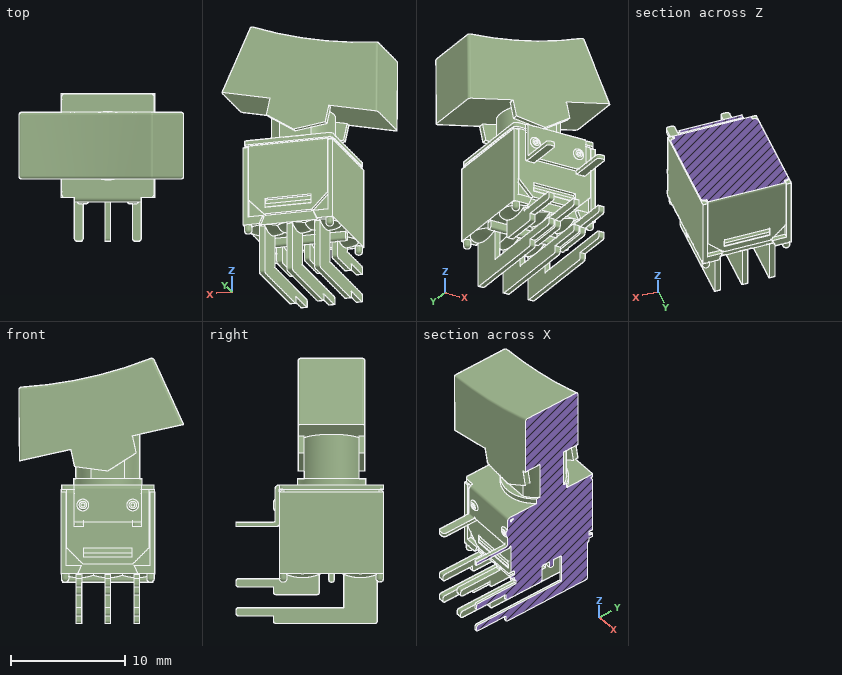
import cadquery as cq
import math


CASE_X = 8.25
CASE_Y = 9.13
CASE_TOP = 7.15
SHEET = 0.4
FLAP_BEND = 0.37
FRONT = -CASE_Y / 2

FRAME_TOP = 7.38
FRAME_X = 8.2
FLAP_WIDTH = 7.26
POCKET_WIDTH = 7.35
FLAP_BOTTOM = 0.84
FLAP_CORNER = 1.45
POCKET_BOTTOM = 0.72
NOTCH_TOP_WIDTH = 4.52
NOTCH_BOTTOM_WIDTH = 5.25
LATCH_WIDTH = 4.24
LATCH_TOP = 2.25
LATCH_RAMP_END = 1.8
LATCH_BOTTOM = 1.47
LATCH_RECESS = 0.07

PLATE_TOP = FRAME_TOP + SHEET
PLATE_X = 8.1
PLATE_CORNER = 0.33
BRACKET_WIDTH = 5.9
BRACKET_BOTTOM = 4.52
BRACKET_FACE = FRONT - SHEET
LEG_WIDTH = 0.8
LEG_CORNER = 0.25
BEND_RADIUS = 0.23
ROOT_FILLET = 0.15
PIN_TIP = -8.38

RIVET_SPACING = 4.38
RIVET_Z = 6.0
RIVET_HEIGHT = 0.15
RIVET_DIAMETER = 1.02
RIVET_RING = 0.65
RIVET_HOLE = 0.35

FLANGE_DIAMETER = 6.0
FLANGE_TOP = 8.3
BUSHING_DIAMETER = 5.63
BUSHING_FLATS = 4.82
BUSHING_TOP = 12.57

ROCKER_TILT = 12.5
ROCKER_WIDTH = 5.87
ROCKER_PIVOT_Z = 8.99
ROCKER_BASE = 2.54
ROCKER_TOP = 8.87
ROCKER_HALF_LENGTH = 7.38
FLANK_ANGLE = 12.0
TOP_SAG = 0.5
SKIRT_HALF_LENGTH = 2.77
SKIRT_ANGLE = 20.0
ROCKER_ROUND = 0.25

FOOT_DIAMETER = 0.65
FOOT_HEIGHT = 0.75
FOOT_ROUND = 0.28
FOOT_X = 3.75
FOOT_Y = 4.24
RIB_LENGTH = 7.92
RIB_THICKNESS = 0.5
RIB_HEIGHT = 0.77
RIB_ROUND = 0.2
DOME_DIAMETER = 3.25
DOME_HEIGHT = 0.37

PITCH = 2.54
TERMINAL_THICKNESS = 0.51
STEM_WIDTH = 2.95
SHORT_BOTTOM = -1.86
LONG_BOTTOM = SHORT_BOTTOM - PITCH
ARM_HEIGHT = 1.42
TIP_HEIGHT = 0.75
SHOULDER_Y = -5.1
TERMINAL_ROUND = 0.23
OVERLAP = 0.23


def block(x_size, y_range, z_range, x_centre=0.0):
    """Box centred in X, given by its Y and Z limits."""
    (y0, y1), (z0, z1) = y_range, z_range
    return (
        cq.Workplane("XY")
        .box(x_size, y1 - y0, z1 - z0, centered=(True, False, False))
        .translate((x_centre, y0, z0))
    )


def cylinder(diameter, z0, z1, x=0.0, y=0.0):
    return cq.Workplane("XY", origin=(x, y, z0)).circle(diameter / 2).extrude(z1 - z0)


def both_ends(shape):
    """The shape together with its mirror image on the back of the case."""
    return shape.union(shape.mirror("XZ"))


def make_case():
    inner_face = FRONT + SHEET
    pocket = block(POCKET_WIDTH, (FRONT, inner_face), (POCKET_BOTTOM, CASE_TOP))
    notch = (
        cq.Workplane("XZ", origin=(0, inner_face, 0))
        .polyline([
            (-NOTCH_BOTTOM_WIDTH / 2, 0),
            (NOTCH_BOTTOM_WIDTH / 2, 0),
            (NOTCH_TOP_WIDTH / 2, FLAP_BOTTOM),
            (-NOTCH_TOP_WIDTH / 2, FLAP_BOTTOM),
        ])
        .close()
        .extrude(SHEET)
    )
    case = block(CASE_X, (FRONT, -FRONT), (0, CASE_TOP))
    return case.cut(both_ends(pocket.union(notch)))


def make_frame():
    inner_face = FRONT + SHEET
    top = block(FRAME_X, (inner_face, -inner_face), (FRAME_TOP - SHEET, FRAME_TOP))
    top = top.edges("|Z").fillet(PLATE_CORNER)
    flap = block(FLAP_WIDTH, (FRONT, inner_face), (FLAP_BOTTOM, FRAME_TOP))
    flap = flap.edges("|Y").edges("<Z").chamfer(FLAP_CORNER)
    flap = flap.faces(">Z").edges("<Y").fillet(FLAP_BEND)
    latch_window = (
        cq.Workplane("YZ", origin=(-LATCH_WIDTH / 2, 0, 0))
        .polyline([
            (FRONT, LATCH_TOP),
            (inner_face, LATCH_TOP),
            (FRONT + LATCH_RECESS, LATCH_RAMP_END),
            (FRONT + LATCH_RECESS, LATCH_BOTTOM),
            (FRONT, LATCH_BOTTOM),
        ])
        .close()
        .extrude(LATCH_WIDTH)
    )
    return top.union(both_ends(flap.cut(latch_window)))


def make_bracket():
    plate = block(PLATE_X, (FRONT, -FRONT), (FRAME_TOP, PLATE_TOP))
    plate = plate.edges("|Z").fillet(PLATE_CORNER)
    flap = block(BRACKET_WIDTH, (BRACKET_FACE, FRONT), (BRACKET_BOTTOM, PLATE_TOP))
    flap = flap.faces(">Z").edges("<Y").fillet(FLAP_BEND)
    bracket = plate.union(flap)
    leg_x = (BRACKET_WIDTH - LEG_WIDTH) / 2
    for side in (-1, 1):
        leg = block(LEG_WIDTH, (PIN_TIP, FRONT), (BRACKET_BOTTOM - SHEET, BRACKET_BOTTOM), side * leg_x)
        leg = leg.faces("<Y").edges("|Z").fillet(LEG_CORNER)
        leg = leg.faces(">Y").edges("<Z").fillet(BEND_RADIUS)
        root = make_leg_root().translate((side * leg_x, 0, 0))
        bracket = bracket.union(leg).union(root).union(make_rivet(side * RIVET_SPACING / 2))
    return bracket


def make_leg_root():
    """Concave fillet strip in the corner between the flap face and a leg."""
    corner = block(
        LEG_WIDTH,
        (BRACKET_FACE - ROOT_FILLET, BRACKET_FACE),
        (BRACKET_BOTTOM, BRACKET_BOTTOM + ROOT_FILLET),
    )
    hollow = (
        cq.Workplane("YZ", origin=(-LEG_WIDTH / 2, BRACKET_FACE - ROOT_FILLET, BRACKET_BOTTOM + ROOT_FILLET))
        .circle(ROOT_FILLET)
        .extrude(LEG_WIDTH)
    )
    return corner.cut(hollow)


def make_rivet(x):
    head = (
        cq.Workplane("XZ", origin=(x, BRACKET_FACE, RIVET_Z))
        .circle(RIVET_DIAMETER / 2)
        .workplane(offset=RIVET_HEIGHT)
        .circle(RIVET_RING / 2)
        .loft()
    )
    return head.faces("<Y").workplane().hole(RIVET_HOLE, RIVET_HEIGHT)


def make_bushing():
    flange = cylinder(FLANGE_DIAMETER, PLATE_TOP, FLANGE_TOP)
    barrel = cylinder(BUSHING_DIAMETER, PLATE_TOP, BUSHING_TOP)
    flats = block(BUSHING_DIAMETER, (-BUSHING_FLATS / 2, BUSHING_FLATS / 2), (PLATE_TOP, BUSHING_TOP))
    return flange.union(barrel.intersect(flats))


def make_rocker():
    top_half_length = ROCKER_HALF_LENGTH - (ROCKER_TOP - ROCKER_BASE) * math.tan(math.radians(FLANK_ANGLE))
    skirt_corner = SKIRT_HALF_LENGTH * math.tan(math.radians(SKIRT_ANGLE))
    body = (
        cq.Workplane("XZ")
        .moveTo(-ROCKER_HALF_LENGTH, ROCKER_BASE)
        .lineTo(ROCKER_HALF_LENGTH, ROCKER_BASE)
        .lineTo(top_half_length, ROCKER_TOP)
        .threePointArc((0, ROCKER_TOP - TOP_SAG), (-top_half_length, ROCKER_TOP))
        .close()
        .extrude(ROCKER_WIDTH / 2, both=True)
    )
    body = body.edges("not <Z").fillet(ROCKER_ROUND)
    skirt = (
        cq.Workplane("XZ")
        .polyline([
            (0, 0),
            (SKIRT_HALF_LENGTH, skirt_corner),
            (SKIRT_HALF_LENGTH, ROCKER_BASE),
            (-SKIRT_HALF_LENGTH, ROCKER_BASE),
            (-SKIRT_HALF_LENGTH, skirt_corner),
        ])
        .close()
        .extrude(ROCKER_WIDTH / 2, both=True)
    )
    gap = block(2 * SKIRT_HALF_LENGTH, (-BUSHING_FLATS / 2, BUSHING_FLATS / 2), (0, ROCKER_BASE))
    rocker = body.union(skirt.cut(gap))
    return rocker.rotate((0, 0, 0), (0, 1, 0), -ROCKER_TILT).translate((0, 0, ROCKER_PIVOT_Z))


def make_underside():
    rib = block(RIB_LENGTH, (-RIB_THICKNESS / 2, RIB_THICKNESS / 2), (-RIB_HEIGHT, OVERLAP))
    parts = rib.faces("<Z").edges("|X").fillet(RIB_ROUND)
    for x in (-FOOT_X, FOOT_X):
        for y in (-FOOT_Y, FOOT_Y):
            foot = cylinder(FOOT_DIAMETER, -FOOT_HEIGHT, OVERLAP, x, y)
            parts = parts.union(foot.faces("<Z").edges().fillet(FOOT_ROUND))
    dome_radius = ((DOME_DIAMETER / 2) ** 2 + DOME_HEIGHT ** 2) / (2 * DOME_HEIGHT)
    below_case = block(CASE_X, (FRONT, -FRONT), (-DOME_HEIGHT, 0))
    for x in (-PITCH, 0, PITCH):
        for y in (-PITCH, PITCH):
            ball = cq.Workplane("XY").sphere(dome_radius).translate((x, y, dome_radius - DOME_HEIGHT))
            parts = parts.union(ball.intersect(below_case))
    return parts


def make_terminal(x, y, bottom):
    """Flat L-shaped terminal: stem centred on y, arm running forward to the tip."""
    back = y + STEM_WIDTH / 2
    stem_front = y - STEM_WIDTH / 2
    arm_top = bottom + ARM_HEIGHT
    tip_bottom = arm_top - TIP_HEIGHT
    terminal = (
        cq.Workplane("YZ", origin=(x, 0, 0))
        .polyline([
            (back, OVERLAP),
            (back, bottom),
            (SHOULDER_Y, bottom),
            (SHOULDER_Y, tip_bottom),
            (PIN_TIP, tip_bottom),
            (PIN_TIP, arm_top),
            (stem_front, arm_top),
            (stem_front, OVERLAP),
        ])
        .close()
        .extrude(TERMINAL_THICKNESS / 2, both=True)
    )
    tip_edges = terminal.faces("<Y").edges("|X")
    bottom_edges = terminal.faces("<Z").edges("|X")
    return terminal.newObject(tip_edges.vals() + bottom_edges.vals()).fillet(TERMINAL_ROUND)


result = (
    make_case()
    .union(make_frame())
    .union(make_bracket())
    .union(make_bushing())
    .union(make_rocker())
    .union(make_underside())
)
for terminal_x in (-PITCH, 0, PITCH):
    result = result.union(make_terminal(terminal_x, -PITCH, SHORT_BOTTOM))
    result = result.union(make_terminal(terminal_x, PITCH, LONG_BOTTOM))